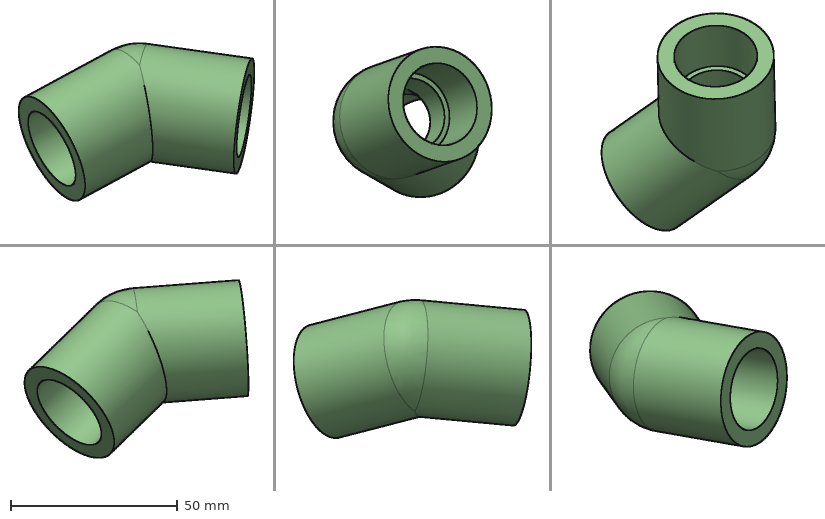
import cadquery as cq
import math

outer_diameter = 35.05
bore_diameter = 21.65
socket_diameter = 25.0
overall_length = 67
socket_depth = 18.0
bend_angle = 45

bend_radians = math.radians(bend_angle)
inlet_direction = (0, -1, 0)
outlet_direction = (math.sin(bend_radians), math.cos(bend_radians), 0)
leg_directions = (inlet_direction, outlet_direction)

outlet_rim_rise = outer_diameter / 2 * math.sin(bend_radians)
leg_length = (overall_length - outlet_rim_rise) / (1 + math.cos(bend_radians))


def leg_cylinder(direction, diameter, start, length):
    """Cylinder along a leg axis, starting at a distance from the bend centre."""
    base = tuple(start * component for component in direction)
    plane = cq.Plane(origin=base, xDir=(0, 0, 1), normal=direction)
    return cq.Workplane(plane).circle(diameter / 2).extrude(length)


def elbow(diameter):
    """Two round legs joined by a ball of the same diameter."""
    shape = cq.Workplane("XY").sphere(diameter / 2)
    for direction in leg_directions:
        shape = shape.union(leg_cylinder(direction, diameter, 0, leg_length))
    return shape


result = elbow(outer_diameter).cut(elbow(bore_diameter))

socket_start = leg_length - socket_depth
for direction in leg_directions:
    socket = leg_cylinder(direction, socket_diameter, socket_start, socket_depth)
    result = result.cut(socket)